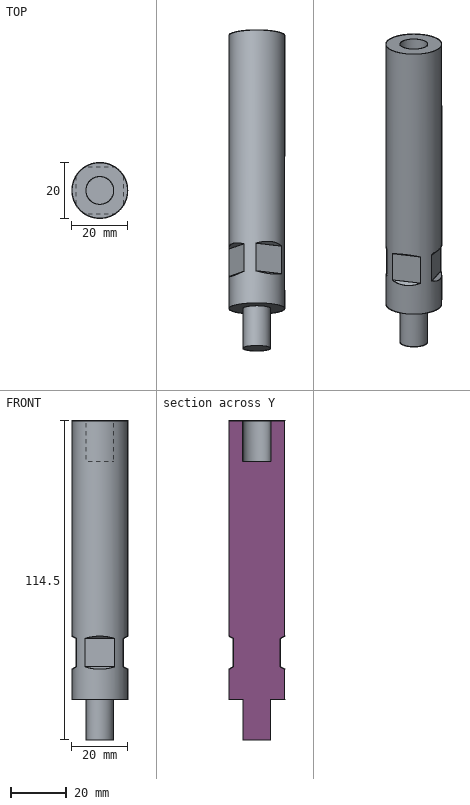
import cadquery as cq
import math

total_length = 114.5
stud_length = 14.5
body_diameter = 20.0
stud_diameter = 10.0
bore_diameter = stud_diameter
bore_depth = stud_length

flat_count = 4
across_flats = 17.0
flat_height = 10.1
flat_height_above_shoulder = 11.8
end_slope_angle = 30.0
cutter_overhang = 1.1

body_length = total_length - stud_length
flat_bottom = stud_length + flat_height_above_shoulder
flat_top = flat_bottom + flat_height


def make_cylinder(diameter, bottom, height):
    return cq.Workplane("XY").workplane(offset=bottom).circle(diameter / 2).extrude(height)


def make_flat_cutter():
    """Trapezoidal bar on the +X side, widening outward from the flat."""
    inner = across_flats / 2
    outer = body_diameter / 2 + cutter_overhang
    rise = (outer - inner) * math.tan(math.radians(end_slope_angle))
    profile = [
        (inner, flat_bottom),
        (outer, flat_bottom - rise),
        (outer, flat_top + rise),
        (inner, flat_top),
    ]
    return cq.Workplane("XZ").polyline(profile).close().extrude(body_diameter / 2, both=True)


stud = make_cylinder(stud_diameter, 0, stud_length)
body = make_cylinder(body_diameter, stud_length, body_length)
bore = make_cylinder(bore_diameter, total_length - bore_depth, bore_depth)
result = body.union(stud).cut(bore)

flat_cutter = make_flat_cutter()
for index in range(flat_count):
    angle = index * 360 / flat_count
    result = result.cut(flat_cutter.rotate((0, 0, 0), (0, 0, 1), angle))